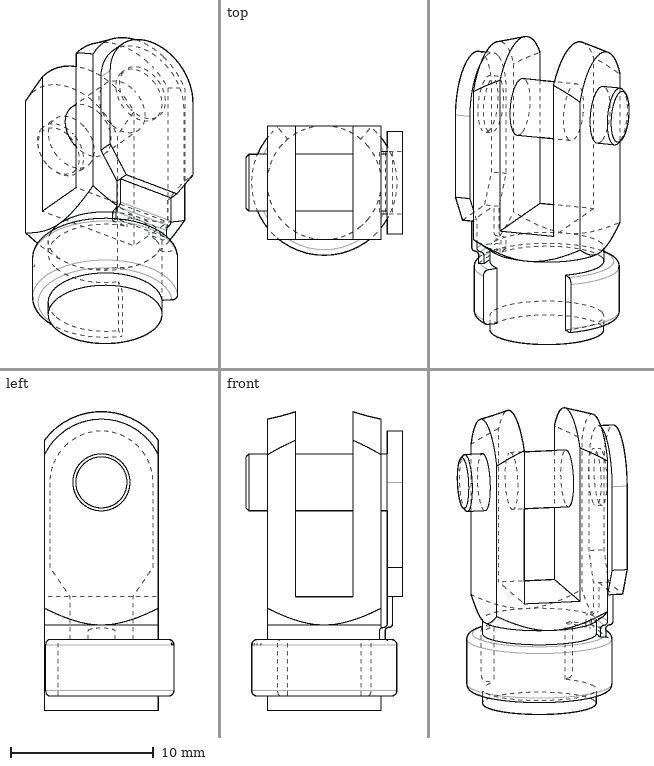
import cadquery as cq
import math

fork_width = 8.0
half_width = fork_width / 2
total_height = 20.98
neck_radius = half_width
neck_height = 6.0
slot_width = 4.0
slot_floor = 8.0
half_slot = slot_width / 2
corner_cone_angle = 35.5

pin_diameter = 4.0
pin_height = 16.0
pin_tip_x = -5.5
pin_chamfer = 0.2

tip_radius = total_height - pin_height
tip_cone_angle = 15.0

plate_inner_x = 4.4
plate_outer_x = 5.5
plate_radius = 3.6
plate_taper_start = 10.03
plate_bottom = slot_floor

ring_diameter = 10.2
ring_bottom = 1.0
ring_top = 5.0
ring_edge_radius = 0.4
ring_gap_angle = 80.0

strip_thickness = 0.4
strip_width = 4.4
strip_lower_x = 3.88
strip_start = (ring_bottom + ring_top) / 2
jog_middle = 5.83
jog_bend_radius = (plate_inner_x - strip_lower_x) / 2


def make_fork():
    """Square block trimmed by the corner cone, the slot and the rounded tips."""
    block = cq.Workplane("XY").workplane(offset=neck_height).rect(fork_width, fork_width)
    block = block.extrude(total_height - neck_height)

    corner_radius = half_width * math.sqrt(2)
    corner_rise = (corner_radius - neck_radius) * math.tan(math.radians(corner_cone_angle))
    cone_envelope = (
        cq.Workplane("XZ")
        .moveTo(0, neck_height)
        .lineTo(neck_radius, neck_height)
        .lineTo(corner_radius, neck_height + corner_rise)
        .lineTo(corner_radius, total_height)
        .lineTo(0, total_height)
        .close()
        .revolve(360, (0, 0, 0), (0, 1, 0))
    )

    outer_tip_radius = tip_radius - (half_width - half_slot) * math.tan(math.radians(tip_cone_angle))
    tip_envelope = (
        cq.Workplane("XZ")
        .moveTo(-half_width, pin_height)
        .lineTo(-half_width, pin_height + outer_tip_radius)
        .lineTo(-half_slot, total_height)
        .lineTo(half_slot, total_height)
        .lineTo(half_width, pin_height + outer_tip_radius)
        .lineTo(half_width, pin_height)
        .close()
        .revolve(360, (0, pin_height, 0), (1, pin_height, 0))
    )
    lower_envelope = cq.Workplane("XY").rect(fork_width, fork_width).extrude(pin_height)

    slot = (
        cq.Workplane("XY")
        .workplane(offset=slot_floor)
        .rect(slot_width, fork_width)
        .extrude(total_height - slot_floor)
    )
    return block.intersect(cone_envelope).intersect(tip_envelope.union(lower_envelope)).cut(slot)


def make_neck():
    return cq.Workplane("XY").circle(neck_radius).extrude(neck_height)


def make_pin():
    pin = cq.Workplane("YZ").workplane(offset=pin_tip_x).center(0, pin_height)
    pin = pin.circle(pin_diameter / 2).extrude(plate_inner_x - pin_tip_x)
    return pin.faces("<X").chamfer(pin_chamfer)


def make_head_plate():
    """Plate round at the top, straight-sided, tapering down to the strip width."""
    return (
        cq.Workplane("YZ")
        .workplane(offset=plate_inner_x)
        .moveTo(-plate_radius, pin_height)
        .threePointArc((0, pin_height + plate_radius), (plate_radius, pin_height))
        .lineTo(plate_radius, plate_taper_start)
        .lineTo(strip_width / 2, plate_bottom)
        .lineTo(-strip_width / 2, plate_bottom)
        .lineTo(-plate_radius, plate_taper_start)
        .close()
        .extrude(plate_outer_x - plate_inner_x)
    )


def make_ring():
    """C-shaped band with rounded outer edges, open towards +Y."""
    band = (
        cq.Workplane("XZ")
        .moveTo(neck_radius, ring_bottom)
        .lineTo(ring_diameter / 2, ring_bottom)
        .lineTo(ring_diameter / 2, ring_top)
        .lineTo(neck_radius, ring_top)
        .close()
        .revolve(360 - ring_gap_angle, (0, 0, 0), (0, 1, 0))
    )
    outer_edges = cq.selectors.RadiusNthSelector(-1)
    band = band.edges("%CIRCLE").edges(outer_edges).fillet(ring_edge_radius)
    return band.rotate((0, 0, 0), (0, 0, 1), 90 + ring_gap_angle / 2)


def make_strip():
    """Flat strip from the ring to the head plate, jogging outwards through two quarter arcs."""
    arc_mid = jog_bend_radius * math.sin(math.radians(45))
    jog_bottom = jog_middle - jog_bend_radius
    jog_top = jog_middle + jog_bend_radius
    lower_outer_x = strip_lower_x + strip_thickness
    upper_outer_x = plate_inner_x + strip_thickness

    return (
        cq.Workplane("XZ")
        .moveTo(strip_lower_x, strip_start)
        .lineTo(strip_lower_x, jog_bottom)
        .threePointArc(
            (strip_lower_x + jog_bend_radius - arc_mid, jog_bottom + arc_mid),
            (strip_lower_x + jog_bend_radius, jog_middle),
        )
        .threePointArc(
            (plate_inner_x - jog_bend_radius + arc_mid, jog_top - arc_mid),
            (plate_inner_x, jog_top),
        )
        .lineTo(plate_inner_x, plate_bottom)
        .lineTo(upper_outer_x, plate_bottom)
        .lineTo(upper_outer_x, jog_top)
        .threePointArc(
            (upper_outer_x - jog_bend_radius + arc_mid, jog_top - arc_mid),
            (upper_outer_x - jog_bend_radius, jog_middle),
        )
        .threePointArc(
            (lower_outer_x + jog_bend_radius - arc_mid, jog_bottom + arc_mid),
            (lower_outer_x, jog_bottom),
        )
        .lineTo(lower_outer_x, strip_start)
        .close()
        .extrude(strip_width / 2, both=True)
    )


result = make_neck().union(make_fork()).union(make_pin()).union(make_head_plate())
result = result.union(make_ring()).union(make_strip())